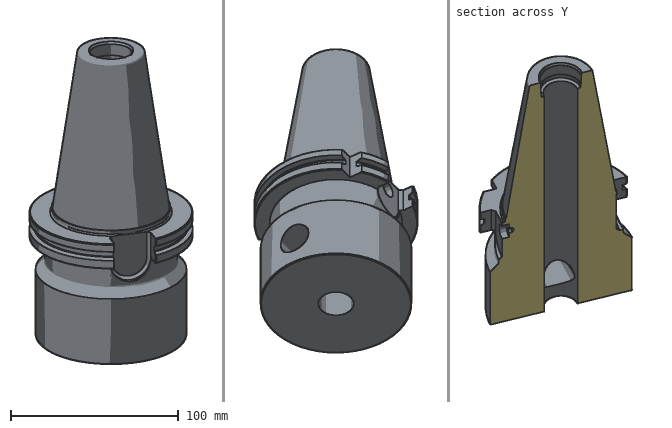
import cadquery as cq
import math

TOTAL_HEIGHT = 184.6
TAPER_LENGTH = 101.7
TAPER_RATE = 7 / 24
GAUGE_RADIUS = 34.9
TAPER_TOP_FILLET = 1.8
GAUGE_Z = TOTAL_HEIGHT - TAPER_LENGTH
TAPER_TOP_RADIUS = GAUGE_RADIUS - TAPER_LENGTH * TAPER_RATE / 2

COLLAR_RADIUS = 35.5
COLLAR_FILLET = 1.0

FLANGE_RADIUS = 48.7
FLANGE_TOP_Z = 79.7
FLANGE_BOTTOM_Z = 63.7
FLANGE_CHAMFER = 0.5
GROOVE_Z = 72.0
GROOVE_FLOOR_RADIUS = 45.6
GROOVE_FLOOR_WIDTH = 2.8
GROOVE_CORNER = 0.4
GROOVE_FLANK_ANGLE = 22.0
GROOVE_FLOOR_HALF = GROOVE_FLOOR_WIDTH / 2
GROOVE_FLANK_RADIUS = GROOVE_FLOOR_RADIUS + GROOVE_CORNER
GROOVE_FLANK_HALF = GROOVE_FLOOR_HALF + GROOVE_CORNER
GROOVE_MOUTH_HALF = GROOVE_FLANK_HALF + (FLANGE_RADIUS - GROOVE_FLANK_RADIUS) * math.tan(
    math.radians(GROOVE_FLANK_ANGLE)
)

NECK_RADIUS = 39.5
NECK_FILLET = 1.5
BODY_RADIUS = 45.0
BODY_TOP_Z = 42.6
BODY_CHAMFER = 0.5
SHOULDER_TOP_Z = BODY_TOP_Z + BODY_RADIUS - NECK_RADIUS

BORE_RADIUS = 10.5
COUNTERBORE_RADIUS = 12.5
COUNTERBORE_DEPTH = 8.7
NARROW_RADIUS = 12.4
NARROW_LENGTH = 2.5
MOUTH_RADIUS = 13.3
MOUTH_CHAMFER_DEPTH = 1.5
DRILL_POINT_ANGLE = 118.0
DRILL_POINT_SLOPE = 1 / math.tan(math.radians(DRILL_POINT_ANGLE / 2))

SLOT_WIDTH = 25.7
SLOT_CHAMFER_DEPTH = 2.0
SLOT_CHAMFER_WIDTH = 1.8
SLOT_EDGE_CHAMFER = 1.0
LEFT_SLOT_FLOOR = 37.5
RIGHT_SLOT_FLOOR = 35.0

NOTCH_X = -30.0
NOTCH_Y = 29.7

RECESS_RADIUS = 5.0
RECESS_DEPTH = 4.6
PILOT_RADIUS = 1.7
PILOT_DEPTH = 1.8

CLAMP_HOLE_RADIUS = 10.0
CLAMP_HOLE_Z = 19.2


def holder_blank():
    """Revolved outer shape."""
    outline = (
        cq.Workplane("XZ")
        .moveTo(0, 0)
        .lineTo(BODY_RADIUS - BODY_CHAMFER, 0)
        .lineTo(BODY_RADIUS, BODY_CHAMFER)
        .lineTo(BODY_RADIUS, BODY_TOP_Z)
        .lineTo(NECK_RADIUS, SHOULDER_TOP_Z)
        .lineTo(NECK_RADIUS, FLANGE_BOTTOM_Z)
        .lineTo(FLANGE_RADIUS - FLANGE_CHAMFER, FLANGE_BOTTOM_Z)
        .lineTo(FLANGE_RADIUS, FLANGE_BOTTOM_Z + FLANGE_CHAMFER)
        .lineTo(FLANGE_RADIUS, GROOVE_Z - GROOVE_MOUTH_HALF)
        .lineTo(GROOVE_FLANK_RADIUS, GROOVE_Z - GROOVE_FLANK_HALF)
        .lineTo(GROOVE_FLOOR_RADIUS, GROOVE_Z - GROOVE_FLOOR_HALF)
        .lineTo(GROOVE_FLOOR_RADIUS, GROOVE_Z + GROOVE_FLOOR_HALF)
        .lineTo(GROOVE_FLANK_RADIUS, GROOVE_Z + GROOVE_FLANK_HALF)
        .lineTo(FLANGE_RADIUS, GROOVE_Z + GROOVE_MOUTH_HALF)
        .lineTo(FLANGE_RADIUS, FLANGE_TOP_Z - FLANGE_CHAMFER)
        .lineTo(FLANGE_RADIUS - FLANGE_CHAMFER, FLANGE_TOP_Z)
        .lineTo(COLLAR_RADIUS + COLLAR_FILLET, FLANGE_TOP_Z)
        .radiusArc((COLLAR_RADIUS, FLANGE_TOP_Z + COLLAR_FILLET), COLLAR_FILLET)
        .lineTo(COLLAR_RADIUS, GAUGE_Z)
        .lineTo(GAUGE_RADIUS, GAUGE_Z)
        .lineTo(TAPER_TOP_RADIUS, TOTAL_HEIGHT)
        .lineTo(0, TOTAL_HEIGHT)
        .close()
    )
    blank = outline.revolve(360, (0, 0, 0), (0, 1, 0))
    blank = blank.faces(">Z").edges().fillet(TAPER_TOP_FILLET)
    neck_corner = blank.edges(cq.selectors.NearestToPointSelector((0, 0, SHOULDER_TOP_Z)))
    return neck_corner.fillet(NECK_FILLET)


def stepped_bore():
    """Through bore, conical step, counterbore and mouth chamfer as one revolved tool."""
    counterbore_z = TOTAL_HEIGHT - COUNTERBORE_DEPTH
    shoulder_top_z = counterbore_z - NARROW_LENGTH
    shoulder_bottom_z = shoulder_top_z - (NARROW_RADIUS - BORE_RADIUS) * DRILL_POINT_SLOPE
    return (
        cq.Workplane("XZ")
        .moveTo(0, 0)
        .lineTo(BORE_RADIUS, 0)
        .lineTo(BORE_RADIUS, shoulder_bottom_z)
        .lineTo(NARROW_RADIUS, shoulder_top_z)
        .lineTo(NARROW_RADIUS, counterbore_z)
        .lineTo(COUNTERBORE_RADIUS, counterbore_z)
        .lineTo(COUNTERBORE_RADIUS, TOTAL_HEIGHT - MOUTH_CHAMFER_DEPTH)
        .lineTo(MOUTH_RADIUS, TOTAL_HEIGHT)
        .lineTo(0, TOTAL_HEIGHT)
        .close()
        .revolve(360, (0, 0, 0), (0, 1, 0))
    )


def slot_profile(distance):
    """U-shaped outline in the plane at this X, its top raised by the floor chamfer's width."""
    half_width = SLOT_WIDTH / 2
    top_z = FLANGE_TOP_Z + SLOT_CHAMFER_WIDTH
    return (
        cq.Workplane("YZ", origin=(distance, 0, 0))
        .moveTo(-half_width, top_z)
        .lineTo(-half_width, FLANGE_BOTTOM_Z)
        .threePointArc((0, FLANGE_BOTTOM_Z - half_width), (half_width, FLANGE_BOTTOM_Z))
        .lineTo(half_width, top_z)
        .close()
    )


def slot_edge_flare():
    """Wedge that breaks the two upright edges where the +X slot meets the flange rim."""
    half_width = SLOT_WIDTH / 2
    rim_x = math.sqrt(FLANGE_RADIUS**2 - half_width**2)
    inner_x = rim_x - SLOT_EDGE_CHAMFER
    outer_half_width = half_width + FLANGE_RADIUS - inner_x
    return (
        cq.Workplane("XY", origin=(0, 0, FLANGE_BOTTOM_Z))
        .moveTo(inner_x, -half_width)
        .lineTo(FLANGE_RADIUS, -outer_half_width)
        .lineTo(FLANGE_RADIUS, outer_half_width)
        .lineTo(inner_x, half_width)
        .close()
        .extrude(FLANGE_TOP_Z - FLANGE_BOTTOM_Z)
    )


def drive_slot(floor_distance):
    """Slot in the +X flank, open at the top, with a round lower end and a chamfered floor."""
    chamfer_x = floor_distance + SLOT_CHAMFER_DEPTH
    taper = math.degrees(math.atan(SLOT_CHAMFER_WIDTH / SLOT_CHAMFER_DEPTH))
    walls = slot_profile(chamfer_x).extrude(FLANGE_RADIUS - chamfer_x)
    floor = slot_profile(chamfer_x).extrude(-SLOT_CHAMFER_DEPTH, taper=taper)
    return walls.union(floor).union(slot_edge_flare())


def orientation_notch():
    """Square corner cut through the full height of the flange."""
    corner = (NOTCH_X - FLANGE_RADIUS, NOTCH_Y, FLANGE_BOTTOM_Z)
    flange_height = FLANGE_TOP_Z - FLANGE_BOTTOM_Z
    return cq.Workplane("XY", origin=corner).box(
        FLANGE_RADIUS, FLANGE_RADIUS, flange_height, centered=False
    )


def slot_floor_hole():
    """Flat recess with a drilled pilot hole, running inward along X."""
    recess_floor = LEFT_SLOT_FLOOR - RECESS_DEPTH
    pilot_end = recess_floor - PILOT_DEPTH
    drill_tip = pilot_end - PILOT_RADIUS * DRILL_POINT_SLOPE
    return (
        cq.Workplane("XZ", origin=(0, 0, GROOVE_Z))
        .moveTo(-LEFT_SLOT_FLOOR, 0)
        .lineTo(-LEFT_SLOT_FLOOR, RECESS_RADIUS)
        .lineTo(-recess_floor, RECESS_RADIUS)
        .lineTo(-recess_floor, PILOT_RADIUS)
        .lineTo(-pilot_end, PILOT_RADIUS)
        .lineTo(-drill_tip, 0)
        .close()
        .revolve(360, (0, 0, 0), (1, 0, 0))
    )


def clamp_hole():
    """Radial hole from the +Y side into the bore."""
    return (
        cq.Workplane("XZ", origin=(0, 0, CLAMP_HOLE_Z))
        .circle(CLAMP_HOLE_RADIUS)
        .extrude(-BODY_RADIUS)
    )


holder = (
    holder_blank()
    .cut(stepped_bore())
    .cut(drive_slot(LEFT_SLOT_FLOOR).mirror("YZ"))
    .cut(drive_slot(RIGHT_SLOT_FLOOR))
    .cut(orientation_notch())
    .cut(slot_floor_hole())
    .cut(clamp_hole())
)

result = cq.Compound.makeCompound([holder.val()])